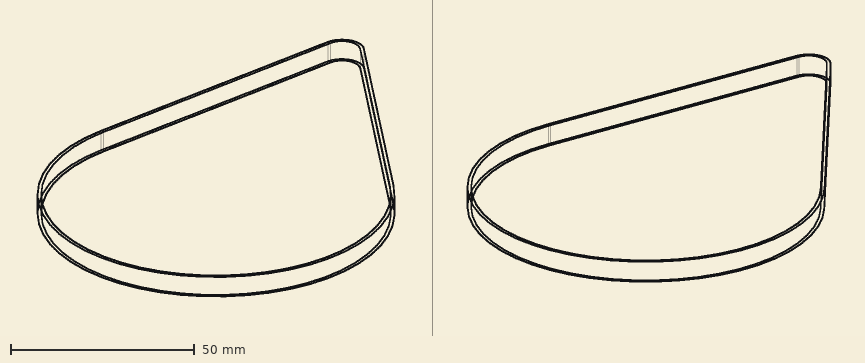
import cadquery as cq
import math

total_length = 145.7
large_radius = 48.5
tip_radius = 6.0
wall = 1.0
height = 6.0

tip_center_y = total_length - large_radius - tip_radius
tangent_angle = math.asin((large_radius - tip_radius) / tip_center_y)


def teardrop(inset):
    """Solid teardrop whose outline lies inside the outer face by the inset."""
    large = large_radius - inset
    tip = tip_radius - inset
    large_x = large * math.cos(tangent_angle)
    large_y = large * math.sin(tangent_angle)
    tip_x = tip * math.cos(tangent_angle)
    tip_y = tip_center_y + tip * math.sin(tangent_angle)
    return (
        cq.Workplane("XY")
        .moveTo(large_x, large_y)
        .lineTo(tip_x, tip_y)
        .threePointArc((0, tip_center_y + tip), (-tip_x, tip_y))
        .lineTo(-large_x, large_y)
        .threePointArc((0, -large), (large_x, large_y))
        .close()
        .extrude(height)
    )


result = teardrop(0).cut(teardrop(wall))